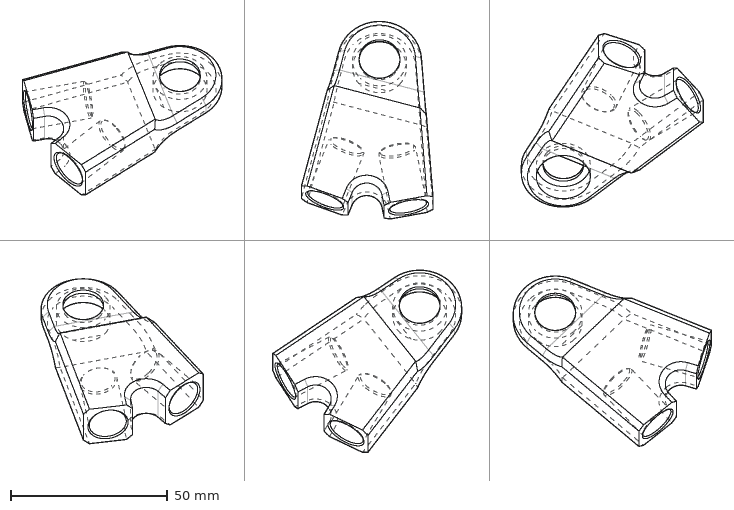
import cadquery as cq
import math

THICKNESS = 16.0
EYE_THICKNESS = THICKNESS / 2
EYE_RADIUS = 13.5
EYE_HOLE_RADIUS = 6.5
EYE_LIP = 1.5
EYE_COUNTERBORE_RADIUS = 8.65
EDGE_CHAMFER = 2.0

BLEND_RADIUS = EYE_THICKNESS
BLEND_START_Y = -7.05

NOTCH_X = 8.8
NOTCH_Y = -47.3
NOTCH_RADIUS = 5.0
NOTCH_WALL = 3.65
SOCKET_WIDTH = THICKNESS
LEFT_ANGLE = 5.2
RIGHT_ANGLE = 26.3

BORE_RADIUS = 6.0
BORE_DEPTH = 20.0
BORE_BEVEL = 0.5

MARGIN = 6.4
TOLERANCE = 0.005


def socket_axes(side, angle):
    """Outward axis of a socket and the direction across its face, away from the notch."""
    turn = math.radians(angle)
    axis = (side * math.sin(turn), -math.cos(turn))
    across = (side * math.cos(turn), math.sin(turn))
    return axis, across


def socket_point(side, angle, offset, along):
    """Point at a distance across and along a socket, from the notch centre."""
    axis, across = socket_axes(side, angle)
    x = NOTCH_X + offset * across[0] + along * axis[0]
    y = NOTCH_Y + offset * across[1] + along * axis[1]
    return (x, y)


def eye_tangent(side, corner):
    """Point where the straight side from a corner touches the eye."""
    distance = math.hypot(*corner)
    bearing = math.atan2(corner[1], corner[0])
    angle = bearing + side * math.acos(EYE_RADIUS / distance)
    return (EYE_RADIUS * math.cos(angle), EYE_RADIUS * math.sin(angle))


def make_plate():
    """Full-thickness plate: eye arc, tangent sides, socket faces and notch."""
    outer = NOTCH_RADIUS + SOCKET_WIDTH
    left_corner = socket_point(-1, LEFT_ANGLE, outer, NOTCH_WALL)
    right_corner = socket_point(1, RIGHT_ANGLE, outer, NOTCH_WALL)
    return (
        cq.Workplane("XY")
        .workplane(offset=-THICKNESS / 2)
        .moveTo(*left_corner)
        .lineTo(*eye_tangent(-1, left_corner))
        .threePointArc((0, EYE_RADIUS), eye_tangent(1, right_corner))
        .lineTo(*right_corner)
        .lineTo(*socket_point(1, RIGHT_ANGLE, NOTCH_RADIUS, NOTCH_WALL))
        .lineTo(*socket_point(1, RIGHT_ANGLE, NOTCH_RADIUS, 0))
        .threePointArc(
            (NOTCH_X, NOTCH_Y + NOTCH_RADIUS),
            socket_point(-1, LEFT_ANGLE, NOTCH_RADIUS, 0),
        )
        .lineTo(*socket_point(-1, LEFT_ANGLE, NOTCH_RADIUS, NOTCH_WALL))
        .close()
        .extrude(THICKNESS)
    )


def make_step_cutter():
    """Space above the eye, bounded by the concave blend."""
    top = THICKNESS / 2
    eye_top = EYE_THICKNESS / 2
    rise = top - eye_top

    def blend_y(height):
        return BLEND_START_Y - math.sqrt(BLEND_RADIUS**2 - (BLEND_RADIUS - height) ** 2)

    return (
        cq.Workplane("YZ")
        .moveTo(EYE_RADIUS + MARGIN, eye_top)
        .lineTo(BLEND_START_Y, eye_top)
        .threePointArc((blend_y(rise / 2), eye_top + rise / 2), (blend_y(rise), top))
        .lineTo(blend_y(rise), top + MARGIN)
        .lineTo(EYE_RADIUS + MARGIN, top + MARGIN)
        .close()
        .extrude(NOTCH_X + 2 * SOCKET_WIDTH + MARGIN, both=True)
    )


def is_rim_edge(edge):
    """Rim edges of the broad faces, leaving out socket faces and edges across the plate."""
    box = edge.BoundingBox()
    middle = edge.positionAt(0.5)
    if abs(middle.z) < EYE_THICKNESS / 4:
        return False
    across_blend = box.ylen < TOLERANCE
    for side, angle in ((-1, LEFT_ANGLE), (1, RIGHT_ANGLE)):
        axis, _ = socket_axes(side, angle)
        along = (middle.x - NOTCH_X) * axis[0] + (middle.y - NOTCH_Y) * axis[1]
        if abs(along - NOTCH_WALL) < TOLERANCE:
            return False
    return not across_blend


def make_bore(side, angle):
    """Blind bore along a socket axis, revolved from its half profile."""
    _, across = socket_axes(side, angle)
    mouth = socket_point(side, angle, NOTCH_RADIUS + SOCKET_WIDTH / 2, NOTCH_WALL)
    plane = cq.Plane(origin=(*mouth, 0), xDir=(*across, 0), normal=(0, 0, -side))
    profile = [
        (0, 0),
        (BORE_RADIUS + BORE_BEVEL, 0),
        (BORE_RADIUS, -BORE_BEVEL),
        (BORE_RADIUS, BORE_BEVEL - BORE_DEPTH),
        (BORE_RADIUS - BORE_BEVEL, -BORE_DEPTH),
        (0, -BORE_DEPTH),
    ]
    return cq.Workplane(plane).polyline(profile).close().revolve(360, (0, 0), (0, 1))


def make_eye_hole():
    """Through hole in the eye with a counterbore from below, leaving a lip at the top."""
    hole = cq.Workplane("XY").circle(EYE_HOLE_RADIUS).extrude(THICKNESS, both=True)
    counterbore = (
        cq.Workplane("XY")
        .workplane(offset=-EYE_THICKNESS / 2)
        .circle(EYE_COUNTERBORE_RADIUS)
        .extrude(EYE_THICKNESS - EYE_LIP)
    )
    return hole.union(counterbore)


step = make_step_cutter()
body = make_plate().cut(step).cut(step.mirror("XY"))

rim = [edge for edge in body.edges().vals() if is_rim_edge(edge)]
body = body.newObject(rim).chamfer(EDGE_CHAMFER)

result = body.cut(make_eye_hole())
for socket_side, socket_angle in ((-1, LEFT_ANGLE), (1, RIGHT_ANGLE)):
    result = result.cut(make_bore(socket_side, socket_angle))